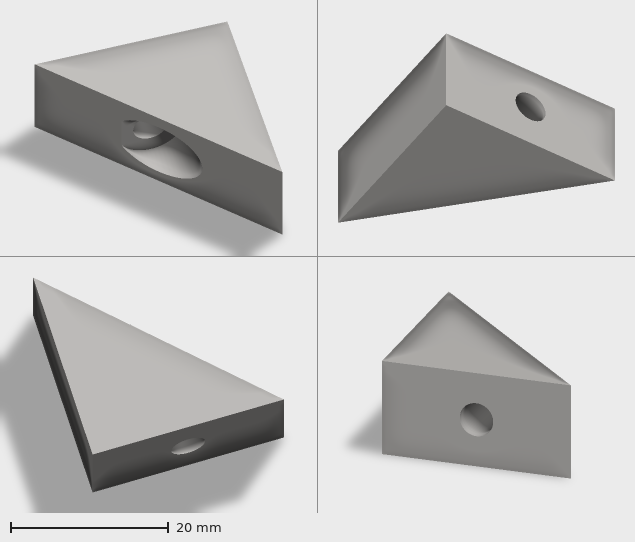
import cadquery as cq

leg_length = 25.4
height = leg_length / 2
bolt_hole_diameter = 4.5
counterbore_diameter = 2 * bolt_hole_diameter
seat_thickness = 8.9

axis_y = leg_length / 2
axis_z = height / 2


def bolt_axis_cylinder(diameter, start_x):
    """Cylinder on the bolt axis, from start_x to the far end of the wedge."""
    return (
        cq.Workplane("YZ", origin=(start_x, axis_y, axis_z))
        .circle(diameter / 2)
        .extrude(leg_length - start_x)
    )


wedge = (
    cq.Workplane("XY")
    .polyline([(0, 0), (leg_length, leg_length), (0, leg_length)])
    .close()
    .extrude(height)
)

bolt_hole = bolt_axis_cylinder(bolt_hole_diameter, 0)
counterbore = bolt_axis_cylinder(counterbore_diameter, seat_thickness)

result = wedge.cut(bolt_hole).cut(counterbore)